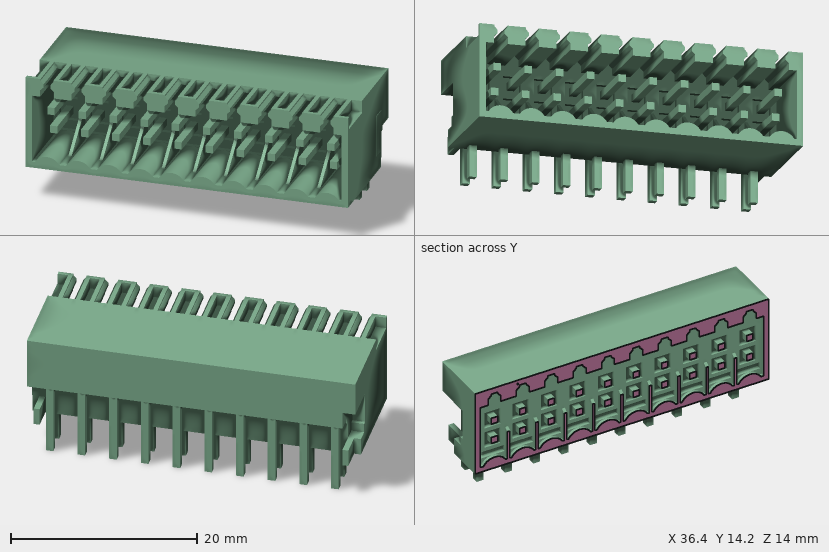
import cadquery as cq


POLES = 10
BODY_LENGTH = 36.33
BODY_DEPTH = 14.2
TOP_Z = 14.0
BASE_Z = 3.53
REAR_WALL_Y = 11.65

FIRST_POLE_X = 2.4
POLE_SPAN = 31.55
POLE_PITCH = POLE_SPAN / (POLES - 1)
POLE_XS = [FIRST_POLE_X + i * POLE_PITCH for i in range(POLES)]
DIVIDER_XS = [x + POLE_PITCH / 2 for x in POLE_XS[:-1]]

END_WALL = 0.7
FLOOR_Z = BASE_Z + 0.7
ROOF_Z = TOP_Z - 2.07
CAVITY_DEPTH = 7.55

SLOT_TOP_WIDTH = 1.45
SLOT_NECK_WIDTH = 0.75
SLOT_BASE_WIDTH = 1.53
SLOT_LIP_DROP = 0.2
SLOT_V_DROP = 0.6
SLOT_CEILING_DROP = 0.75
SLOT_NECK_DROP = 0.95
SLOT_BASE_DROP = 1.3
COMB_DEPTH = 4.9

POCKET_WIDTH = 1.05
POCKET_FRONT_Y = 0.45
POCKET_DEPTH = 1.3

RIDGE_WIDTH = 2.75
RIDGE_HEIGHT = 0.75
FIN_WIDTH = 0.35
FIN_FRONT_Y = 2.6
FIN_TOP_Z = TOP_Z - 5.95

SOCKET_SIZE = 2.0
KEYWAY_WIDTH = 3.0
KEYWAY_HEIGHT = 0.8
BACK_RECESS_DEPTH = 0.55

PIN_SIZE = 0.85
UPPER_PIN_TIP_Y = 1.42
UPPER_PIN_Z = TOP_Z - 4.25
UPPER_LEG_Y = BODY_DEPTH - 1.02
LOWER_PIN_TIP_Y = 2.33
LOWER_PIN_Z = TOP_Z - 6.77
LOWER_LEG_Y = BODY_DEPTH - 3.55

OVERHANG_Z = TOP_Z - 5.82
STEP_DROP = 0.55
STEP_DEPTH = 0.6
RECESS_DEPTH = 1.42
RECESS_TOP_Z = TOP_Z - 3.82
RECESS_FRONT_Y = BODY_DEPTH - 4.4
RECESS_STEP_Y = 0.45
RECESS_STEP_Z = TOP_Z - 7.45
TAB_TOP_Z = BASE_Z + 1.95
TAB_THICKNESS = 0.65
PAD_HEIGHT = 0.07
LIP_THICKNESS = 0.1


def block(x0, x1, y0, y1, z0, z1):
    """Box between two opposite corners."""
    return cq.Workplane("XY").box(x1 - x0, y1 - y0, z1 - z0, centered=False).translate((x0, y0, z0))


def extrude_along_x(points, x0, x1):
    """Closed (y, z) outline swept from x0 to x1."""
    return cq.Workplane("YZ", origin=(x0, 0, 0)).polyline(points).close().extrude(x1 - x0)


def extrude_along_y(points, depth):
    """Closed (x, z) outline swept back from the front face."""
    return cq.Workplane("XZ").polyline(points).close().extrude(-depth)


def housing():
    """Solid housing with the stepped overhang at the rear."""
    step_y = REAR_WALL_Y + STEP_DEPTH
    step_z = OVERHANG_Z - STEP_DROP
    profile = [
        (0, BASE_Z), (REAR_WALL_Y, BASE_Z), (REAR_WALL_Y, step_z), (step_y, step_z),
        (step_y, OVERHANG_Z), (BODY_DEPTH, OVERHANG_Z), (BODY_DEPTH, TOP_Z), (0, TOP_Z),
    ]
    return extrude_along_x(profile, 0, BODY_LENGTH)


def roof_slot(x):
    """Dovetail groove along the cavity roof and the V opening above it."""
    neck = SLOT_NECK_WIDTH / 2
    base = SLOT_BASE_WIDTH / 2
    top = SLOT_TOP_WIDTH / 2
    lip_z = TOP_Z - SLOT_LIP_DROP
    v_z = TOP_Z - SLOT_V_DROP
    ceiling_z = TOP_Z - SLOT_CEILING_DROP
    neck_z = TOP_Z - SLOT_NECK_DROP
    base_z = TOP_Z - SLOT_BASE_DROP
    groove = [
        (x - neck, ceiling_z), (x + neck, ceiling_z), (x + neck, neck_z), (x + base, base_z),
        (x + base, ROOF_Z), (x - base, ROOF_Z), (x - base, base_z), (x - neck, neck_z),
    ]
    opening = [
        (x - top, TOP_Z), (x + top, TOP_Z), (x + top, lip_z), (x + neck, v_z),
        (x + neck, ceiling_z), (x - neck, ceiling_z), (x - neck, v_z), (x - top, lip_z),
    ]
    return extrude_along_y(groove, CAVITY_DEPTH).union(extrude_along_y(opening, COMB_DEPTH))


def finger_pocket(x0, x1):
    """Shallow pocket in the top of a roof finger."""
    return block(x0, x1, POCKET_FRONT_Y, COMB_DEPTH, TOP_Z - POCKET_DEPTH, TOP_Z)


def back_recess(x, z, width, height):
    """Rectangular recess in the back wall of the cavity."""
    return block(
        x - width / 2, x + width / 2, CAVITY_DEPTH, CAVITY_DEPTH + BACK_RECESS_DEPTH,
        z - height / 2, z + height / 2,
    )


def ridge(x):
    """Rounded ridge along the cavity floor under one pole."""
    half = RIDGE_WIDTH / 2
    return (
        cq.Workplane("XZ")
        .moveTo(x - half, FLOOR_Z)
        .threePointArc((x, FLOOR_Z + RIDGE_HEIGHT), (x + half, FLOOR_Z))
        .close()
        .extrude(-CAVITY_DEPTH)
    )


def fin(x):
    """Sloping fin between two poles."""
    profile = [(FIN_FRONT_Y, FLOOR_Z), (CAVITY_DEPTH, FLOOR_Z), (CAVITY_DEPTH, FIN_TOP_Z)]
    return extrude_along_x(profile, x - FIN_WIDTH / 2, x + FIN_WIDTH / 2)


def pin(x, tip_y, contact_z, leg_y):
    """Square pin: contact along Y, then a leg straight down."""
    half = PIN_SIZE / 2
    contact = block(x - half, x + half, tip_y, leg_y + half, contact_z - half, contact_z + half)
    leg = block(x - half, x + half, leg_y - half, leg_y + half, 0, contact_z + half)
    return contact.union(leg)


def end_recess():
    """Stepped recess in the rear corner of the left end."""
    step_y = RECESS_FRONT_Y + RECESS_STEP_Y
    profile = [
        (BODY_DEPTH, RECESS_TOP_Z), (RECESS_FRONT_Y, RECESS_TOP_Z), (RECESS_FRONT_Y, RECESS_STEP_Z),
        (step_y, RECESS_STEP_Z), (step_y, TAB_TOP_Z), (BODY_DEPTH, TAB_TOP_Z),
    ]
    return extrude_along_x(profile, 0, RECESS_DEPTH)


def rear_tab(x0):
    """Foot reaching back under the overhang."""
    return block(x0, x0 + TAB_THICKNESS, REAR_WALL_Y, BODY_DEPTH, BASE_Z, TAB_TOP_Z)


def end_pad():
    """Low pad on the right end, matching the place of the left end recess."""
    right = BODY_LENGTH + PAD_HEIGHT
    return block(BODY_LENGTH, right, RECESS_FRONT_Y, REAR_WALL_Y, TAB_TOP_Z, RECESS_TOP_Z)


def pocket_lip():
    """Thin lip carrying the floor of the right end pocket past the end face."""
    right = BODY_LENGTH + PAD_HEIGHT
    floor_z = TOP_Z - POCKET_DEPTH
    return block(BODY_LENGTH, right, POCKET_FRONT_Y, COMB_DEPTH, floor_z - LIP_THICKNESS, floor_z)


def cut_all(body, tools):
    """Remove every tool from the body in one operation."""
    return cq.Workplane(obj=body.val().cut(*[tool.val() for tool in tools]))


def join_all(body, tools):
    """Add every tool to the body in one operation."""
    return cq.Workplane(obj=body.val().fuse(*[tool.val() for tool in tools]))


left_pocket_edge = POLE_XS[0] - POLE_PITCH / 2 + POCKET_WIDTH / 2
right_pocket_edge = POLE_XS[-1] + POLE_PITCH / 2 - POCKET_WIDTH / 2
keyway_z = FLOOR_Z + RIDGE_HEIGHT + KEYWAY_HEIGHT / 2

cutters = [
    block(END_WALL, BODY_LENGTH - END_WALL, 0, CAVITY_DEPTH, FLOOR_Z, ROOF_Z),
    finger_pocket(0, left_pocket_edge),
    finger_pocket(right_pocket_edge, BODY_LENGTH),
    end_recess(),
]
for pole_x in POLE_XS:
    cutters.append(roof_slot(pole_x))
    cutters.append(back_recess(pole_x, UPPER_PIN_Z, SOCKET_SIZE, SOCKET_SIZE))
    cutters.append(back_recess(pole_x, LOWER_PIN_Z, SOCKET_SIZE, SOCKET_SIZE))
    cutters.append(back_recess(pole_x, keyway_z, KEYWAY_WIDTH, KEYWAY_HEIGHT))
for divider_x in DIVIDER_XS:
    cutters.append(finger_pocket(divider_x - POCKET_WIDTH / 2, divider_x + POCKET_WIDTH / 2))

additions = [
    rear_tab(RECESS_DEPTH - TAB_THICKNESS),
    rear_tab(BODY_LENGTH - RECESS_DEPTH),
    end_pad(),
    pocket_lip(),
]
for pole_x in POLE_XS:
    additions.append(ridge(pole_x))
    additions.append(pin(pole_x, UPPER_PIN_TIP_Y, UPPER_PIN_Z, UPPER_LEG_Y))
    additions.append(pin(pole_x, LOWER_PIN_TIP_Y, LOWER_PIN_Z, LOWER_LEG_Y))
for divider_x in DIVIDER_XS:
    additions.append(fin(divider_x))

header = join_all(cut_all(housing(), cutters), additions).clean()
result = header.solids()